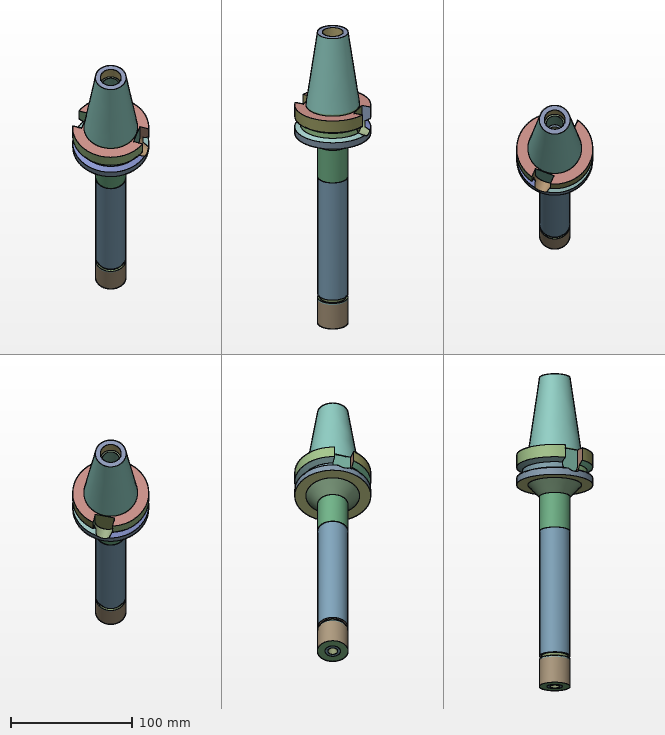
import cadquery as cq


total_height = 265.5
taper_base_z = 200.0
flange_top_z = 199.0
groove_top_z = 188.5
groove_floor_top_z = 185.5
groove_floor_low_z = 181.0
groove_low_z = 179.1
flange_low_z = 173.3
neck_cone_low_z = 163.2
relief_z = 133.5
shank_end_z = 26.3
nut_top_z = 23.4
nut_shoulder_z = 21.8
nose_end_z = 5.8
collet_top_z = 29.2

taper_small_radius = 12.7
taper_large_radius = 44.3 / 2
flange_radius = 63.0 / 2
groove_radius = 26.8
neck_radius = 12.7
shank_radius = 25.0 / 2
nose_radius = 11.0
nut_radius = neck_radius
nut_rim_radius = 25.2 / 2

mouth_radius = 8.5
mouth_depth = 9.8
thread_bore_radius = 14.0 / 2
thread_bore_depth = 30.0
coolant_bore_radius = 10.4 / 2

collet_small_radius = 5.8
collet_max_radius = 8.0
collet_face_radius = 6.5
collet_bore_radius = 4.0

slot_width = 16.5
slot_floor_x = 22.5
slot_low_z = 177.3


def revolve_profile(points):
    """Full turn about Z of a closed (radius, height) outline."""
    return cq.Workplane("XZ").polyline(points).close().revolve(360, (0, 0, 0), (0, 1, 0))


def drive_slot(side):
    """Round-bottomed radial keyway cutter; side is +1 or -1 along X."""
    radius = slot_width / 2
    center_z = slot_low_z + radius
    length = flange_radius
    middle_x = side * (slot_floor_x + length / 2)
    height = total_height - center_z
    straight = cq.Workplane("XY").box(length, slot_width, height, centered=(True, True, False))
    straight = straight.translate((middle_x, 0, center_z))
    rounded = cq.Workplane("YZ").circle(radius).extrude(length / 2, both=True)
    return straight.union(rounded.translate((middle_x, 0, center_z)))


def make_holder():
    flange_points = [
        (0, flange_low_z),
        (flange_radius, flange_low_z),
        (flange_radius, groove_low_z),
        (groove_radius, groove_floor_low_z),
        (groove_radius, groove_floor_top_z),
        (flange_radius, groove_top_z),
        (flange_radius, flange_top_z),
        (0, flange_top_z),
    ]
    flange = revolve_profile(flange_points)
    for side in (-1, 1):
        flange = flange.cut(drive_slot(side))

    taper = revolve_profile([
        (0, flange_top_z),
        (taper_large_radius, flange_top_z),
        (taper_large_radius, taper_base_z),
        (taper_small_radius, total_height),
        (0, total_height),
    ])
    shank = revolve_profile([
        (0, nose_end_z),
        (nose_radius, nose_end_z),
        (nose_radius, shank_end_z),
        (shank_radius, shank_end_z),
        (shank_radius, relief_z),
        (neck_radius, relief_z),
        (neck_radius, neck_cone_low_z),
        (taper_large_radius, flange_low_z),
        (0, flange_low_z),
    ])
    mouth_floor_z = total_height - mouth_depth
    thread_floor_z = total_height - thread_bore_depth
    bore = revolve_profile([
        (0, nose_end_z),
        (collet_max_radius, nose_end_z),
        (collet_small_radius, collet_top_z),
        (coolant_bore_radius, collet_top_z),
        (coolant_bore_radius, thread_floor_z),
        (thread_bore_radius, thread_floor_z),
        (thread_bore_radius, mouth_floor_z),
        (mouth_radius, mouth_floor_z),
        (mouth_radius, total_height),
        (0, total_height),
    ])
    return flange.union(taper).union(shank).cut(bore)


def make_nut():
    """Nut cupped over the holder nose, with a conical opening for the collet."""
    return revolve_profile([
        (collet_face_radius, 0),
        (nut_radius, 0),
        (nut_radius, nut_shoulder_z),
        (nut_rim_radius, nut_top_z),
        (nose_radius, nut_top_z),
        (nose_radius, nose_end_z),
        (collet_max_radius, nose_end_z),
    ])


def make_collet():
    """Double-cone collet filling the holder seat and the nut opening."""
    return revolve_profile([
        (collet_bore_radius, 0),
        (collet_face_radius, 0),
        (collet_max_radius, nose_end_z),
        (collet_small_radius, collet_top_z),
        (collet_bore_radius, collet_top_z),
    ])


holder = make_holder()
nut = make_nut()
collet = make_collet()

result = cq.Compound.makeCompound([holder.val(), nut.val(), collet.val()])